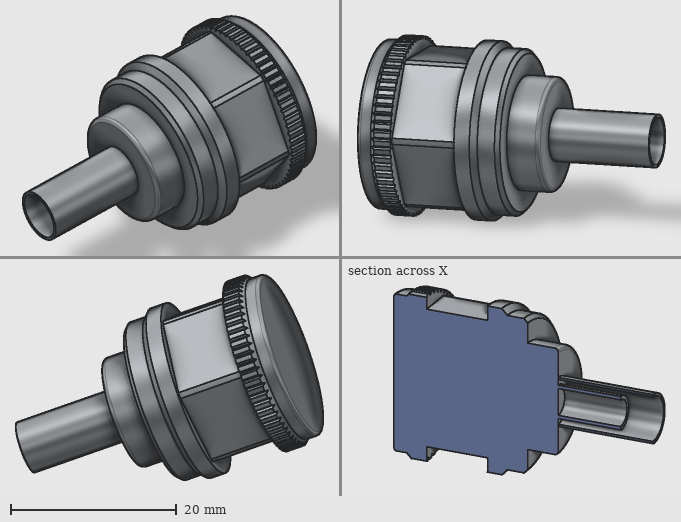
import cadquery as cq
import math

TOTAL_LENGTH = 34.8

BODY_DIAMETER = 21.8
RIM_DIAMETER = 20.55
REAR_RING_DIAMETER = 20.25
BOSS_DIAMETER = 14.0

HEX_SIDES = 6
HEX_ACROSS_FLATS = 18.03
HEX_CORNER_DIAMETER = 20.4

FERRULE_LENGTH = 12.7
BOSS_LENGTH = 4.1
REAR_RING_LENGTH = 2.7
COLLAR_LENGTH = 1.95
HEX_LENGTH = 8.1
KNURL_LENGTH = 2.1

BOSS_FILLET = 0.52
REAR_RING_CHAMFER = 0.52
RIM_FILLET = 0.45

GROOVE_COUNT = 65
GROOVE_WIDTH = 0.45
GROOVE_DEPTH = 0.35

FERRULE_DIAMETER = 6.47
FERRULE_BORE = 5.78
SPIGOT_DIAMETER = 4.42
SPIGOT_BORE = 3.45
SPIGOT_LENGTH = 8.35

boss_start = FERRULE_LENGTH
ring_start = boss_start + BOSS_LENGTH
ring_end = ring_start + REAR_RING_LENGTH
collar_slope = (BODY_DIAMETER - REAR_RING_DIAMETER) / 2
collar_start = ring_end + collar_slope
hex_start = collar_start + COLLAR_LENGTH
knurl_start = hex_start + HEX_LENGTH
knurl_end = knurl_start + KNURL_LENGTH
knurl_slope = (BODY_DIAMETER - RIM_DIAMETER) / 2
rim_start = knurl_end + knurl_slope


def cylinder(diameter, start, end):
    """Round bar on the Y axis between two stations."""
    plane = cq.Workplane("XZ", origin=(0, start, 0))
    return plane.circle(diameter / 2).extrude(start - end)


def cone(start_diameter, end_diameter, start, end):
    """Conical frustum on the Y axis between two stations."""
    profile = [
        (0, start),
        (start_diameter / 2, start),
        (end_diameter / 2, end),
        (0, end),
    ]
    return cq.Workplane("XY").polyline(profile).close().revolve(360, (0, 0, 0), (0, 1, 0))


def make_boss():
    boss = cylinder(BOSS_DIAMETER, boss_start, ring_start)
    return boss.faces("<Y").edges().fillet(BOSS_FILLET)


def make_collar():
    """Rear ring, the cone above it and the full-diameter collar."""
    ring = cylinder(REAR_RING_DIAMETER, ring_start, ring_end)
    ring = ring.faces("<Y").edges().chamfer(REAR_RING_CHAMFER)
    slope = cone(REAR_RING_DIAMETER, BODY_DIAMETER, ring_end, collar_start)
    band = cylinder(BODY_DIAMETER, collar_start, hex_start)
    return ring.union(slope).union(band)


def make_hexagon():
    """Hexagon with flats facing up and down, its corners turned to a cylinder."""
    across_corners = HEX_ACROSS_FLATS / math.cos(math.pi / HEX_SIDES)
    plane = cq.Workplane("XZ", origin=(0, hex_start, 0))
    hexagon = plane.polygon(HEX_SIDES, across_corners).extrude(-HEX_LENGTH)
    return hexagon.intersect(cylinder(HEX_CORNER_DIAMETER, hex_start, knurl_start))


def make_knurl_grooves():
    """Ring of V-shaped cutters that run through the knurled band and its cone."""
    outer_radius = BODY_DIAMETER / 2
    root_radius = outer_radius - GROOVE_DEPTH
    overshoot = 0.7
    half_angle = math.atan2(GROOVE_WIDTH / 2, GROOVE_DEPTH)
    half_width = (GROOVE_DEPTH + overshoot) * math.tan(half_angle)
    groove = (
        cq.Workplane("XZ", origin=(0, knurl_start, 0))
        .moveTo(0, root_radius)
        .lineTo(half_width, outer_radius + overshoot)
        .lineTo(-half_width, outer_radius + overshoot)
        .close()
        .extrude(knurl_start - rim_start)
    )
    cutters = []
    for index in range(GROOVE_COUNT):
        angle = 360 * index / GROOVE_COUNT
        cutters.append(groove.rotate((0, 0, 0), (0, 1, 0), angle).val())
    return cq.Workplane("XZ").newObject([cq.Compound.makeCompound(cutters)])


def make_knurled_band():
    band = cylinder(BODY_DIAMETER, knurl_start, knurl_end)
    slope = cone(BODY_DIAMETER, RIM_DIAMETER, knurl_end, rim_start)
    return band.union(slope).cut(make_knurl_grooves())


def make_rim():
    rim = cylinder(RIM_DIAMETER, rim_start, TOTAL_LENGTH)
    return rim.faces(">Y").edges().fillet(RIM_FILLET)


def make_spigot():
    """Short tube on the boss, standing inside the ferrule with a gap all round."""
    spigot = cylinder(SPIGOT_DIAMETER, boss_start - SPIGOT_LENGTH, boss_start)
    return spigot.cut(cylinder(SPIGOT_BORE, boss_start - SPIGOT_LENGTH, boss_start))


def make_connector():
    connector = make_boss().union(make_collar()).union(make_hexagon())
    connector = connector.union(make_knurled_band()).union(make_rim())
    return connector.union(make_spigot())


def make_ferrule():
    """Thin tube that butts against the boss."""
    tube = cylinder(FERRULE_DIAMETER, 0, FERRULE_LENGTH)
    return tube.cut(cylinder(FERRULE_BORE, 0, FERRULE_LENGTH))


connector = make_connector()
ferrule = make_ferrule()

result = cq.Compound.makeCompound([connector.val(), ferrule.val()])